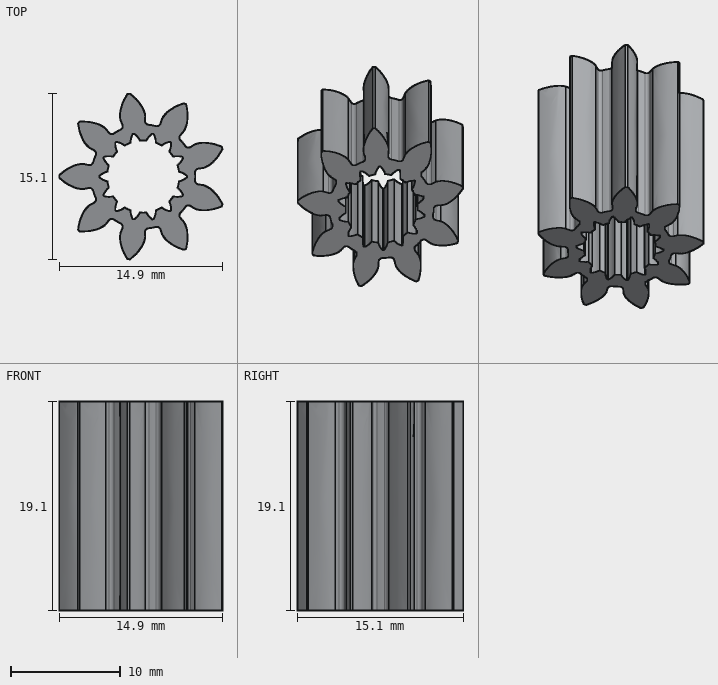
import cadquery as cq
import math

length = 19.05
outer_diameter = 15.3
outer_radius = outer_diameter / 2

tooth_count = 9
root_radius = 4.75
base_radius = 5.52
base_half_angle = math.radians(12)
root_fillet = 0.35
tooth_embed_radius = 4.2

groove_count = 14
bore_radius = 3.28
groove_bottom_radius = 3.98
groove_mouth_half_width = 0.44
groove_bottom_half_width = 0.05
groove_flank_bulge = 0.04


def involute_point(radius, side):
    """Point on a tooth flank at a radius from the gear axis; side is +1 or -1."""
    pressure_angle = math.acos(base_radius / radius)
    half_angle = base_half_angle - (math.tan(pressure_angle) - pressure_angle)
    return radius * math.cos(half_angle), side * radius * math.sin(half_angle)


def make_tooth():
    """Tooth along +X: radial below the base circle, involute above it."""
    flank_steps = 6
    flank_radii = [
        base_radius + (outer_radius - base_radius) * step / flank_steps
        for step in range(flank_steps + 1)
    ]
    lower_flank = [involute_point(radius, -1) for radius in flank_radii]
    upper_flank = [involute_point(radius, 1) for radius in reversed(flank_radii)]
    embed_x = tooth_embed_radius * math.cos(base_half_angle)
    embed_y = tooth_embed_radius * math.sin(base_half_angle)
    return (
        cq.Workplane("XY")
        .moveTo(embed_x, -embed_y)
        .lineTo(*lower_flank[0])
        .spline(lower_flank[1:], includeCurrent=True)
        .threePointArc((outer_radius, 0), upper_flank[0])
        .spline(upper_flank[1:], includeCurrent=True)
        .lineTo(embed_x, embed_y)
        .close()
        .extrude(length)
    )


def make_groove():
    """Groove cutter along +X with bowed flanks and a narrow bottom."""
    cutter_start = bore_radius / 2
    mouth_x = math.sqrt(bore_radius**2 - groove_mouth_half_width**2)
    bottom_x = math.sqrt(groove_bottom_radius**2 - groove_bottom_half_width**2)
    middle_x = (mouth_x + bottom_x) / 2 + groove_flank_bulge
    middle_y = (groove_mouth_half_width + groove_bottom_half_width) / 2 + groove_flank_bulge
    return (
        cq.Workplane("XY")
        .moveTo(cutter_start, -groove_mouth_half_width)
        .lineTo(mouth_x, -groove_mouth_half_width)
        .threePointArc((middle_x, -middle_y), (bottom_x, -groove_bottom_half_width))
        .threePointArc((groove_bottom_radius, 0), (bottom_x, groove_bottom_half_width))
        .threePointArc((middle_x, middle_y), (mouth_x, groove_mouth_half_width))
        .lineTo(cutter_start, groove_mouth_half_width)
        .close()
        .extrude(length)
    )


def around_axis(shape, count):
    """Copies of a shape spaced evenly about Z, the first turned to -X."""
    return [shape.rotate((0, 0, 0), (0, 0, 1), 180 + index * 360 / count) for index in range(count)]


gear = cq.Workplane("XY").circle(root_radius).extrude(length)
for tooth in around_axis(make_tooth(), tooth_count):
    gear = gear.union(tooth)

root_corner_limit = (root_radius + base_radius) / 2
root_corners = [
    edge
    for edge in gear.edges("|Z").vals()
    if math.hypot(edge.Center().x, edge.Center().y) < root_corner_limit
]
gear = gear.newObject(root_corners).fillet(root_fillet)

gear = gear.cut(cq.Workplane("XY").circle(bore_radius).extrude(length))
for groove in around_axis(make_groove(), groove_count):
    gear = gear.cut(groove)

result = gear